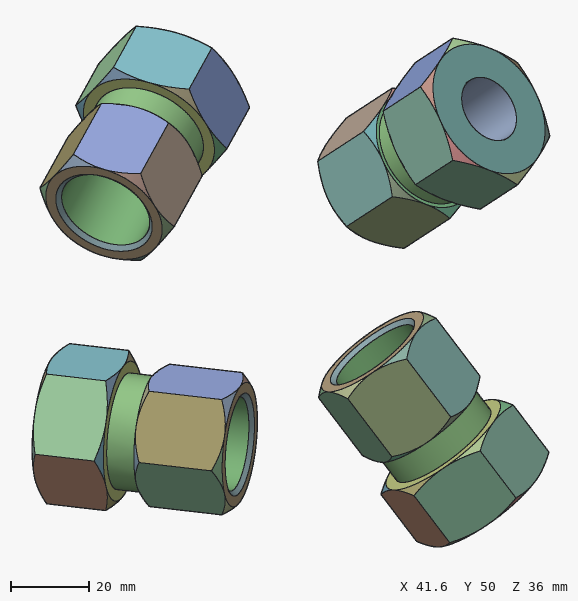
import cadquery as cq
import math

total_length = 50.0
small_nut_length = 23.5
neck_length = 7.5
large_nut_length = total_length - small_nut_length - neck_length

small_across_flats = 32.0
large_across_flats = 36.0
small_chamfer_height = 2.1
large_chamfer_height = 1.65
neck_diameter = 30.0

through_diameter = 17.6
socket_diameter = 24.2
socket_depth = small_nut_length
mouth_diameter = 26.5
mouth_angle = 45.0


def cylinder(diameter, start, length):
    """Cylinder about the Y axis, from start toward +Y."""
    return cq.Workplane("XZ", origin=(0, start, 0)).circle(diameter / 2).extrude(-length)


def hex_nut(across_flats, start, length, chamfer_height):
    """Hexagonal prism about Y with its corners turned to cones at both ends."""
    corner_diameter = across_flats / math.cos(math.radians(30))
    end = start + length
    prism = (
        cq.Workplane("XZ", origin=(0, start, 0))
        .polygon(6, corner_diameter)
        .extrude(-length)
    )
    envelope = (
        cq.Workplane("XY")
        .moveTo(0, start)
        .lineTo(across_flats / 2, start)
        .lineTo(corner_diameter / 2, start + chamfer_height)
        .lineTo(corner_diameter / 2, end - chamfer_height)
        .lineTo(across_flats / 2, end)
        .lineTo(0, end)
        .close()
        .revolve(360, (0, 0, 0), (0, 1, 0))
    )
    return prism.intersect(envelope)


def stepped_bore():
    """Through hole with a wider socket and conical mouth in the small nut."""
    mouth_depth = (mouth_diameter - socket_diameter) / 2 / math.tan(math.radians(mouth_angle))
    return (
        cq.Workplane("XY")
        .lineTo(mouth_diameter / 2, 0)
        .lineTo(socket_diameter / 2, mouth_depth)
        .lineTo(socket_diameter / 2, socket_depth)
        .lineTo(through_diameter / 2, socket_depth)
        .lineTo(through_diameter / 2, total_length)
        .lineTo(0, total_length)
        .close()
        .revolve(360, (0, 0, 0), (0, 1, 0))
    )


large_nut_start = small_nut_length + neck_length
small_nut = hex_nut(small_across_flats, 0, small_nut_length, small_chamfer_height)
neck = cylinder(neck_diameter, small_nut_length, neck_length)
large_nut = hex_nut(large_across_flats, large_nut_start, large_nut_length, large_chamfer_height)

result = small_nut.union(neck).union(large_nut).cut(stepped_bore())